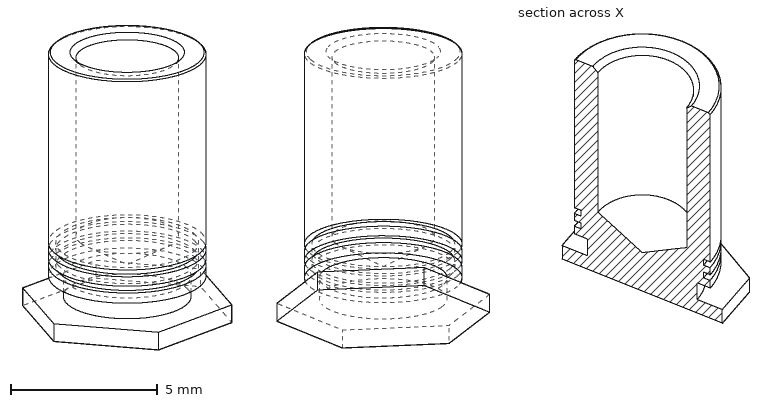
import cadquery as cq
import math

total_height = 9.53
hex_across_flats = 6.35
hex_thickness = 0.65

barrel_diameter = 5.38
barrel_edge_chamfer = 0.07
neck_diameter = 4.36
neck_top = 1.4
groove_diameter = 4.88
groove_width = 0.25
groove_bottoms = (1.77, 2.36)

bore_diameter = 3.51
bore_depth = 6.67
drill_point_angle = 118.0
mouth_diameter = 3.91
mouth_angle = 90.0


def cone_height(radial_change, included_angle):
    """Axial length of a cone from its change of radius and included angle."""
    return radial_change / math.tan(math.radians(included_angle / 2))


def hexagonal_head():
    """Flat hexagon with its corners on the X axis."""
    across_corners = hex_across_flats / math.cos(math.radians(30))
    return cq.Workplane("XY").polygon(6, across_corners).extrude(hex_thickness)


def barrel():
    """Narrow neck carrying the wider, chamfered barrel."""
    neck = cq.Workplane("XY").circle(neck_diameter / 2).extrude(neck_top)
    body = (
        cq.Workplane("XY")
        .workplane(offset=neck_top)
        .circle(barrel_diameter / 2)
        .extrude(total_height - neck_top)
        .faces(">Z")
        .chamfer(barrel_edge_chamfer)
    )
    return neck.union(body)


def groove(bottom):
    """Ring to remove around the barrel."""
    return (
        cq.Workplane("XY")
        .workplane(offset=bottom)
        .circle(barrel_diameter / 2)
        .circle(groove_diameter / 2)
        .extrude(groove_width)
    )


def bore():
    """Blind bore with a countersunk mouth and conical end."""
    bore_radius = bore_diameter / 2
    mouth_radius = mouth_diameter / 2
    mouth_depth = cone_height(mouth_radius - bore_radius, mouth_angle)
    bore_end = total_height - bore_depth
    point_tip = bore_end - cone_height(bore_radius, drill_point_angle)
    return (
        cq.Workplane("XZ")
        .moveTo(0, point_tip)
        .lineTo(bore_radius, bore_end)
        .lineTo(bore_radius, total_height - mouth_depth)
        .lineTo(mouth_radius, total_height)
        .lineTo(0, total_height)
        .close()
        .revolve(360, (0, 0, 0), (0, 1, 0))
    )


result = hexagonal_head().union(barrel())
for groove_bottom in groove_bottoms:
    result = result.cut(groove(groove_bottom))
result = result.cut(bore())